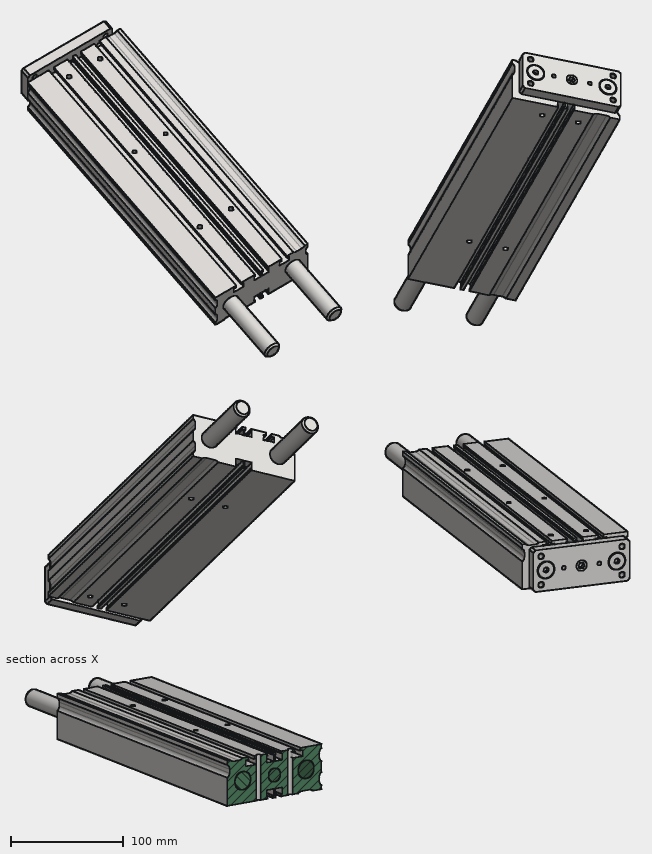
import cadquery as cq
import math

total_length = 368.0
housing_width = 101.0
housing_height = 42.0
housing_start = 16.0
housing_length = 287.0
housing_end = housing_start + housing_length

hole_row_y = 17.0

plate_thickness = 10.0
plate_width = 92.0
plate_height = 39.0
plate_chamfer = 2.2
corner_hole_diameter = 4.8
corner_hole_chamfer = 0.5
corner_hole_y = 38.5
corner_hole_z = 13.2
plate_pin_hole_diameter = 3.5

guide_rod_diameter = 16.2
guide_rod_y = 34.0
guide_rod_chamfer = 2.0
guide_rod_front_chamfer = 0.55
rod_end_hole_diameter = 4.8
rod_end_hole_depth = 3.5
drill_point_angle = 118.0

piston_rod_diameter = 12.0
piston_rod_length = 220.8
piston_rod_end = plate_thickness + piston_rod_length
screw_diameter = 10.0
socket_across_flats = 5.0
socket_depth = 4.5

slot_opening = 5.5
slot_depth = 8.0
side_slot_lip = 3.0
side_slot_undercut = 2.5
side_slot_inner_edge = 22.0
side_slot_y = side_slot_inner_edge + slot_opening / 2
centre_slot_lip = 2.2
centre_slot_undercut = 0.7
centre_rib = 3.3
centre_slot_y = (centre_rib + slot_opening) / 2

side_groove_width = 11.8
side_groove_floor = 3.5
side_groove_depth = 2.2
side_groove_z = 11.0
top_groove_width = 12.5
top_groove_floor = 5.5
top_groove_depth = 1.5
top_groove_y = 41.0
bottom_groove_width = 16.0
bottom_groove_floor = 8.0
bottom_groove_depth = top_groove_depth
bottom_groove_y = -33.5

mounting_hole_diameter = 4.5
first_hole_x = 32.0
mounting_pitch = 100.0
pin_hole_diameter = 3.5
pin_hole_depth = 7.5


def x_cylinder(diameter, x_start, x_end, y=0.0, z=0.0):
    """Cylinder along X between two X positions."""
    base = cq.Workplane("YZ", origin=(x_start, y, z))
    return base.circle(diameter / 2).extrude(x_end - x_start)


def groove_cutter(width, floor_width, depth):
    """Groove in a face at Z = 0, each flank an arc that runs tangent into the floor."""
    half_mouth = width / 2
    half_floor = floor_width / 2
    flank_run = half_mouth - half_floor
    flank_radius = (flank_run**2 + depth**2) / (2 * depth)
    half_sweep = math.asin(flank_run / flank_radius) / 2
    middle_y = half_floor + flank_radius * math.sin(half_sweep)
    middle_z = flank_radius * (1 - math.cos(half_sweep)) - depth
    return (
        cq.Workplane("YZ", origin=(housing_start, 0, 0))
        .moveTo(-half_mouth, 0)
        .threePointArc((-middle_y, middle_z), (-half_floor, -depth))
        .lineTo(half_floor, -depth)
        .threePointArc((middle_y, middle_z), (half_mouth, 0))
        .close()
        .extrude(housing_length)
    )


def slot_cutter(lip, undercut):
    """T-slot in a face at Z = 0: a narrow mouth above a wider channel."""
    channel_width = slot_opening + 2 * undercut
    mouth = cq.Workplane("XY").box(housing_length, slot_opening, slot_depth, centered=(False, True, False))
    channel = cq.Workplane("XY").box(
        housing_length, channel_width, slot_depth - lip, centered=(False, True, False)
    )
    return mouth.union(channel).translate((housing_start, 0, -slot_depth))


def on_face(cutter, turn, y, z):
    """Turn a cutter about X from the top face to another face and move it there."""
    return cutter.rotate((0, 0, 0), (1, 0, 0), turn).translate((0, y, z))


def make_housing():
    """Extruded body with its grooves, slots, rod bores and mounting holes."""
    half_width = housing_width / 2
    half_height = housing_height / 2
    body = cq.Workplane("XY", origin=(housing_start, 0, 0)).box(
        housing_length, housing_width, housing_height, centered=(False, True, True)
    )

    side_groove = groove_cutter(side_groove_width, side_groove_floor, side_groove_depth)
    top_groove = groove_cutter(top_groove_width, top_groove_floor, top_groove_depth)
    bottom_groove = groove_cutter(bottom_groove_width, bottom_groove_floor, bottom_groove_depth)
    body = body.cut(on_face(side_groove, -90, half_width, side_groove_z))
    for z in (-side_groove_z, side_groove_z):
        body = body.cut(on_face(side_groove, 90, -half_width, z))
    body = body.cut(on_face(top_groove, 0, top_groove_y, half_height))
    body = body.cut(on_face(bottom_groove, 180, bottom_groove_y, -half_height))

    side_slot = slot_cutter(side_slot_lip, side_slot_undercut)
    centre_slot = slot_cutter(centre_slot_lip, centre_slot_undercut)
    for side in (-1, 1):
        body = body.cut(on_face(side_slot, 0, side * side_slot_y, half_height))
        body = body.cut(on_face(centre_slot, 0, side * centre_slot_y, half_height))
        body = body.cut(on_face(centre_slot, 180, side * centre_slot_y, -half_height))

    for y in (-guide_rod_y, guide_rod_y):
        body = body.cut(x_cylinder(guide_rod_diameter, housing_start, housing_end, y))
    body = body.cut(x_cylinder(piston_rod_diameter, housing_start, piston_rod_end))

    middle_x = first_hole_x + mounting_pitch
    last_x = middle_x + mounting_pitch
    top = cq.Workplane("XY", origin=(0, 0, half_height))
    for y in (-hole_row_y, hole_row_y):
        through_holes = (
            top.pushPoints([(first_hole_x, y), (last_x, y)])
            .circle(mounting_hole_diameter / 2)
            .extrude(-housing_height)
        )
        pin_hole = top.center(middle_x, y).circle(pin_hole_diameter / 2).extrude(-pin_hole_depth)
        body = body.cut(through_holes).cut(pin_hole)
    return body


def make_end_plate():
    """Plate with corner and pin holes and a fitting hole for each guide rod and the screw."""
    plate = (
        cq.Workplane("XY")
        .box(plate_thickness, plate_width, plate_height, centered=(False, True, True))
        .edges("|X")
        .chamfer(plate_chamfer)
    )
    for y in (-1, 1):
        plate = plate.cut(x_cylinder(guide_rod_diameter, 0, plate_thickness, y * guide_rod_y))
        plate = plate.cut(x_cylinder(plate_pin_hole_diameter, 0, plate_thickness, y * hole_row_y))
        for z in (-1, 1):
            plate = plate.cut(
                x_cylinder(corner_hole_diameter, 0, plate_thickness, y * corner_hole_y, z * corner_hole_z)
            )
    corner_hole_mouths = plate.faces("<X").edges(cq.selectors.RadiusNthSelector(1))
    plate = corner_hole_mouths.chamfer(corner_hole_chamfer)
    return plate.cut(x_cylinder(screw_diameter, 0, plate_thickness))


def make_guide_rod(y):
    """Rod from the end plate through the housing, with a drilled centre at its front end."""
    rod = x_cylinder(guide_rod_diameter, 0, total_length, y)
    rod = rod.faces(">X").chamfer(guide_rod_chamfer)
    rod = rod.faces("<X").chamfer(guide_rod_front_chamfer)
    hole_radius = rod_end_hole_diameter / 2
    point_length = hole_radius / math.tan(math.radians(drill_point_angle / 2))
    hole = (
        cq.Workplane("XY", origin=(0, y, 0))
        .polyline([
            (0, 0),
            (0, hole_radius),
            (rod_end_hole_depth, hole_radius),
            (rod_end_hole_depth + point_length, 0),
        ])
        .close()
        .revolve(360, (0, 0, 0), (1, 0, 0))
    )
    return rod.cut(hole)


def make_piston_rod():
    """Rod from the back of the end plate into its blind bore in the housing."""
    return x_cylinder(piston_rod_diameter, plate_thickness, piston_rod_end)


def make_screw():
    """Screw flush with the end plate, with a hexagon socket whose corners point along Y."""
    screw = x_cylinder(screw_diameter, 0, plate_thickness)
    across_corners = socket_across_flats / math.cos(math.pi / 6)
    socket = cq.Workplane("YZ").polygon(6, across_corners).extrude(socket_depth)
    return screw.cut(socket)


housing = make_housing()
end_plate = make_end_plate()
guide_rods = [make_guide_rod(y) for y in (-guide_rod_y, guide_rod_y)]
piston_rod = make_piston_rod()
screw = make_screw()

result = cq.Compound.makeCompound([
    housing.val(),
    end_plate.val(),
    *[rod.val() for rod in guide_rods],
    piston_rod.val(),
    screw.val(),
])